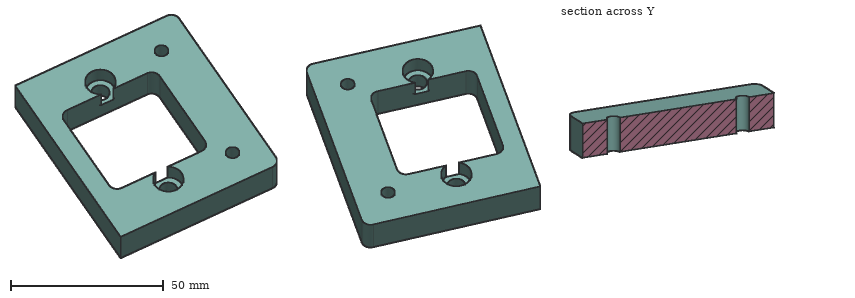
import cadquery as cq

plate_width = 70.0
plate_depth = 60.0
plate_height = 12.0
corner_radius = 3.0

window_size = 36.0
window_center_y = 25.0
window_corner_radius = 3.0

back_hole_diameter = 4.5
back_hole_spacing = 47.1
back_hole_y = window_center_y + back_hole_spacing / 2

bolt_hole_diameter = 6.0
bolt_hole_spacing = 45.0
counterbore_diameter = 10.0
counterbore_depth = 6.0


def make_plate():
    """Plate centred in X, with its front face at Y = 0 and its base at Z = 0."""
    plate = cq.Workplane("XY").box(plate_width, plate_depth, plate_height, centered=(True, False, False))
    return plate.edges("|Z and >Y").fillet(corner_radius)


def make_window():
    """Rounded square prism that cuts the window."""
    window = (
        cq.Workplane("XY")
        .center(0, window_center_y)
        .rect(window_size, window_size)
        .extrude(plate_height)
    )
    return window.edges("|Z").fillet(window_corner_radius)


def make_cylinder_pair(diameter, spacing, y, bottom_z):
    """Two upright cylinders, mirrored about X = 0, reaching the top face."""
    return (
        cq.Workplane("XY", origin=(0, y, bottom_z))
        .pushPoints([(-spacing / 2, 0), (spacing / 2, 0)])
        .circle(diameter / 2)
        .extrude(plate_height - bottom_z)
    )


back_holes = make_cylinder_pair(back_hole_diameter, back_hole_spacing, back_hole_y, 0)
bolt_holes = make_cylinder_pair(bolt_hole_diameter, bolt_hole_spacing, window_center_y, 0)
counterbores = make_cylinder_pair(
    counterbore_diameter,
    bolt_hole_spacing,
    window_center_y,
    plate_height - counterbore_depth,
)

result = make_plate().cut(make_window()).cut(back_holes).cut(bolt_holes).cut(counterbores)